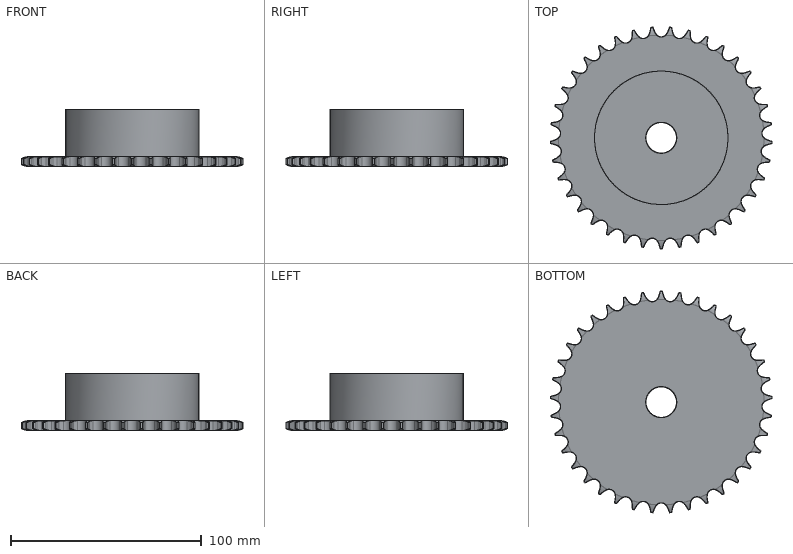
import cadquery as cq
import math

overall_width = 116.3
overall_height = 30.0
plate_thickness = 5.2
hub_diameter = 70.0
bore_diameter = 16.0

tooth_count = 37
root_radius = 52.9
seat_radius = 3.3
seat_half_angle = 53.4
working_radius = 8.3
working_turn = 16.5
straight_length = 0.9
tip_half_angle = 0.5

relief_start_radius = 53.9
relief_arc_radius = 9.2
relief_overrun = 1.2

pitch_angle = 360.0 / tooth_count
first_tooth_angle = -90.0

tip_corner_off_axis = math.radians(pitch_angle / 4 - tip_half_angle)
tip_radius = overall_width / 2 / math.cos(tip_corner_off_axis)


def polar(radius, degrees):
    """Point at a radius and angle about the sprocket axis."""
    angle = math.radians(degrees)
    return (radius * math.cos(angle), radius * math.sin(angle))


def arc_by_turn(start, heading, radius, turn):
    """Middle and end of an arc that leaves start along heading and turns left by turn degrees."""
    def point_after(part_turn):
        half_turn = part_turn / 2
        chord = 2 * radius * math.sin(math.radians(half_turn))
        dx, dy = polar(chord, heading + half_turn)
        return (start[0] + dx, start[1] + dy)

    return point_after(turn / 2), point_after(turn)


def tangent_arc_middle(start, heading, end):
    """Middle of the arc that leaves start along heading and passes through end."""
    dx = end[0] - start[0]
    dy = end[1] - start[1]
    chord_heading = math.degrees(math.atan2(dy, dx))
    half_turn = (chord_heading - heading) / 2
    half_chord = math.hypot(dx, dy) / 2 / math.cos(math.radians(half_turn))
    mid_dx, mid_dy = polar(half_chord, chord_heading - half_turn)
    return (start[0] + mid_dx, start[1] + mid_dy)


def half_gap_points():
    """Points of half a gap that opens along +Y, from its bottom to the tooth tip on its +X side."""
    bottom = (0, root_radius)
    _, seat_end = arc_by_turn(bottom, 0, seat_radius, seat_half_angle)
    working_middle, working_end = arc_by_turn(seat_end, seat_half_angle, working_radius, working_turn)
    straight_heading = seat_half_angle + working_turn
    dx, dy = polar(straight_length, straight_heading)
    straight_end = (working_end[0] + dx, working_end[1] + dy)
    tip_corner = polar(tip_radius, 90 - pitch_angle / 2 + tip_half_angle)
    topping_middle = tangent_arc_middle(straight_end, straight_heading, tip_corner)
    return bottom, seat_end, working_middle, working_end, straight_end, topping_middle, tip_corner


def place_in_gap(point, gap_angle, side):
    """Turn a half-gap point to the gap at gap_angle; side -1 mirrors it to the other flank."""
    offset = math.degrees(math.atan2(point[0], point[1]))
    return polar(math.hypot(*point), gap_angle + side * offset)


def make_toothed_disc():
    """Full-thickness disc: a tip land followed by a gap, once for every tooth."""
    half_gap = half_gap_points()
    outline = cq.Workplane("XY").moveTo(*polar(tip_radius, first_tooth_angle - tip_half_angle))
    for tooth in range(tooth_count):
        tooth_angle = first_tooth_angle + tooth * pitch_angle
        gap_angle = tooth_angle + pitch_angle / 2

        near_side = [place_in_gap(point, gap_angle, -1) for point in half_gap]
        far_side = [place_in_gap(point, gap_angle, 1) for point in half_gap]
        _, near_seat, near_work_middle, near_work, near_straight, near_top_middle, near_tip = near_side
        bottom, far_seat, far_work_middle, far_work, far_straight, far_top_middle, far_tip = far_side

        outline = (
            outline.threePointArc(polar(tip_radius, tooth_angle), near_tip)
            .threePointArc(near_top_middle, near_straight)
            .lineTo(*near_work)
            .threePointArc(near_work_middle, near_seat)
            .threePointArc(bottom, far_seat)
            .threePointArc(far_work_middle, far_work)
            .lineTo(*far_straight)
            .threePointArc(far_top_middle, far_tip)
        )
    return outline.close().extrude(plate_thickness)


def make_relieved_blank():
    """Round blank whose two faces curve towards each other where the teeth are."""
    outer_radius = tip_radius + relief_overrun
    sweep = math.asin((outer_radius - relief_start_radius) / relief_arc_radius)

    def relief_point(angle):
        radius = relief_start_radius + relief_arc_radius * math.sin(angle)
        depth = relief_arc_radius * (1 - math.cos(angle))
        return radius, depth

    middle_radius, middle_depth = relief_point(sweep / 2)
    end_radius, end_depth = relief_point(sweep)
    return (
        cq.Workplane("XZ")
        .lineTo(relief_start_radius, 0)
        .threePointArc((middle_radius, middle_depth), (end_radius, end_depth))
        .lineTo(end_radius, plate_thickness - end_depth)
        .threePointArc(
            (middle_radius, plate_thickness - middle_depth),
            (relief_start_radius, plate_thickness),
        )
        .lineTo(0, plate_thickness)
        .close()
        .revolve(360, (0, 0, 0), (0, 1, 0))
    )


toothed_plate = make_toothed_disc().intersect(make_relieved_blank())
hub = cq.Workplane("XY").circle(hub_diameter / 2).extrude(overall_height)
bore = cq.Workplane("XY").circle(bore_diameter / 2).extrude(overall_height)

result = toothed_plate.union(hub).cut(bore)